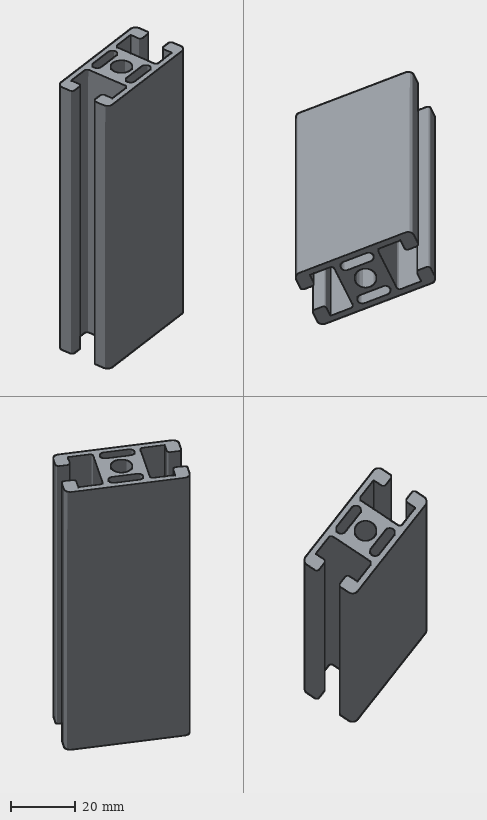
import cadquery as cq

width = 20.0
depth = 40.0
length = 100.0
corner_radius = 2.0

wall = 2.0
slot_opening = 8.0
lip_thickness = 4.6
lip_edge_radius = 1.0
web_thickness = 15.0
cavity_radius = 1.0

bore_diameter = 6.8
relief_width = 3.2
relief_length = 11.0
relief_offset = 6.5

cavity_width = width - 2 * wall
cavity_depth = (depth - web_thickness) / 2 - lip_thickness


def outer_bar():
    bar = cq.Workplane("XY").rect(width, depth).extrude(length)
    return bar.edges("|Z").fillet(corner_radius)


def t_slot(side):
    """Cutter for the slot on the +Y (side=1) or -Y (side=-1) face."""
    cavity_center = side * (web_thickness + cavity_depth) / 2
    floor_edges = "|Z and <Y" if side > 0 else "|Z and >Y"
    cavity = (
        cq.Workplane("XY")
        .center(0, cavity_center)
        .rect(cavity_width, cavity_depth)
        .extrude(length)
        .edges(floor_edges)
        .fillet(cavity_radius)
    )
    opening = (
        cq.Workplane("XY")
        .center(0, side * (depth - lip_thickness) / 2)
        .rect(slot_opening, lip_thickness)
        .extrude(length)
    )
    return cavity.union(opening)


def round_lip_edges(body):
    """Round the inner and outer edges of the four lips at the slot openings."""
    half_opening = slot_opening / 2
    lip_inner = depth / 2 - lip_thickness
    tolerance = 0.1
    for y in (-depth / 2, -lip_inner, lip_inner, depth / 2):
        edges = cq.selectors.BoxSelector(
            (-half_opening - tolerance, y - tolerance, 0),
            (half_opening + tolerance, y + tolerance, length),
        )
        body = body.edges("|Z").edges(edges).fillet(lip_edge_radius)
    return body


def web_openings():
    bore = cq.Workplane("XY").circle(bore_diameter / 2).extrude(length)
    reliefs = (
        cq.Workplane("XY")
        .pushPoints([(-relief_offset, 0), (relief_offset, 0)])
        .slot2D(relief_length, relief_width, 90)
        .extrude(length)
    )
    return bore.union(reliefs)


slotted_bar = outer_bar().cut(t_slot(1)).cut(t_slot(-1))
result = round_lip_edges(slotted_bar).cut(web_openings())